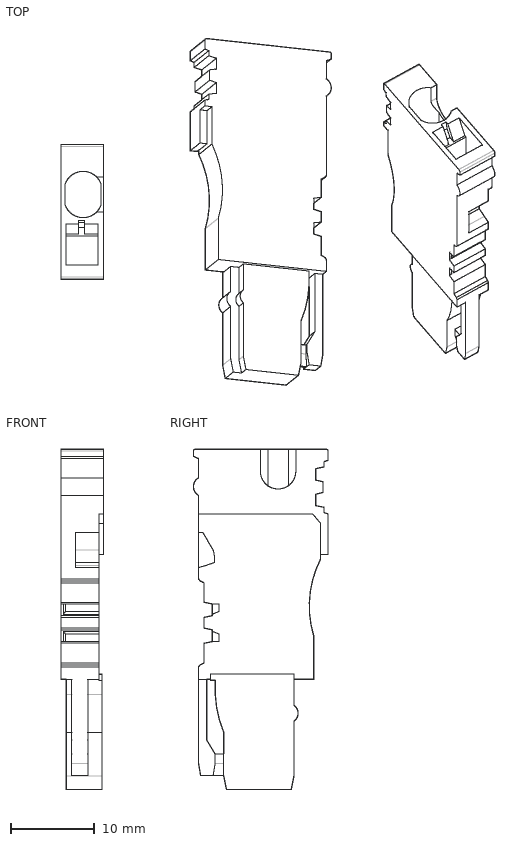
import cadquery as cq

total_height = 40.75
head_width = 5.1
body_width = 4.55
body_depth = 16.15
edge_radius = 0.25

body_bottom = 13.2
head_bottom = 33.0
front_face = 0.6
front_recess = 1.25
rear_waist = 15.25
rear_bottom_face = 14.43

lip_bottom = 39.9
lip_root = 39.6
ridge_center = 36.25
ridge_half_height = 1.05
recess_top = 24.75
recess_bottom = 15.15
bevel_break = 0.25
bevel_break_face = front_face + 0.15

groove_height = 1.8
groove_floor = 2.25
groove_taper = 0.2
groove_centers = [21.5, 18.4]
grip_end_wall = 0.3
grip_end_taper = 0.25
grip_core_floor = 3.05
grip_rib_lip = 0.15
grip_rib_flare = 0.5

rear_groove_centers = [34.68, 37.75]
rear_groove_height = 1.75
rear_groove_floor = 14.65
rear_groove_taper = 0.2
rear_tooth_face = 15.53
rear_land_face = 15.65
rear_land_bottom = 33.17
rear_land_top = 39.25
rear_land_bevel = 0.15
thumb_curve_bottom = 18.38
thumb_curve_middle = (13.9, 21.8)
thumb_curve_top = 27.6

lug_left = 1.7
lug_overlap = 0.4
lug_bottom = 28.1
lug_top = 32.27

head_slope_front = 14.25
head_slope_bottom = 31.85

tongue_left = 0.6
tongue_right = 4.95
tongue_step = 2.1
tongue_top = 13.8
collar_front = 2.05
collar_drop = 0.12
tongue_front_upper = 2.6
tongue_front_lower = 3.63
tongue_back = 12.05
tongue_back_narrow = 11.0
tongue_curve_top = 11.35
tongue_curve_middle = (2.95, 9.0)
tongue_curve_bottom = 6.85
bump_center = 9.13
tip_taper_height = 1.65
tip_taper = 0.33

arm_left = 1.25
arm_right = 3.2
arm_back = 1.65
arm_bottom = 1.67
arm_tip_front = 0.85
arm_tip_back = 2.35
arm_taper_top = 3.15
arm_hook_top = 4.28
arm_hook_slope_top = 5.9
bridge_inset = 0.5
bridge_taper = 0.33


def side_prism(outline, left, right):
    """Extrude a closed YZ outline from X = left to X = right."""
    return outline.close().extrude(right - left).translate((left, 0, 0))


def block(x_range, y_range, z_range):
    """Box between pairs of X, Y and Z limits."""
    sizes = [limits[1] - limits[0] for limits in (x_range, y_range, z_range)]
    corner = (x_range[0], y_range[0], z_range[0])
    return cq.Workplane("XY").box(*sizes, centered=False).translate(corner)


def body_outline():
    """YZ outline of the body, starting at the front top edge and running down the front."""
    outline = (
        cq.Workplane("YZ")
        .moveTo(edge_radius, total_height)
        .radiusArc((0, total_height - edge_radius), -edge_radius)
        .lineTo(0, lip_bottom)
        .lineTo(front_face, lip_root)
        .lineTo(front_face, ridge_center + ridge_half_height)
        .threePointArc((0, ridge_center), (front_face, ridge_center - ridge_half_height))
        .lineTo(front_face, recess_top + 2 * bevel_break)
        .lineTo(bevel_break_face, recess_top + bevel_break)
        .lineTo(front_recess, recess_top)
    )
    for center in groove_centers:
        outer = groove_height / 2
        inner = outer - groove_taper
        outline = (
            outline.lineTo(front_recess, center + outer)
            .lineTo(groove_floor, center + inner)
            .lineTo(groove_floor, center - inner)
            .lineTo(front_recess, center - outer)
        )
    outline = (
        outline.lineTo(front_recess, recess_bottom)
        .lineTo(bevel_break_face, recess_bottom - bevel_break)
        .lineTo(front_face, recess_bottom - 2 * bevel_break)
        .lineTo(front_face, body_bottom)
        .lineTo(rear_bottom_face, body_bottom)
        .lineTo(rear_bottom_face, thumb_curve_bottom)
        .threePointArc(thumb_curve_middle, (rear_waist, thumb_curve_top))
        .lineTo(rear_waist, lug_top)
        .lineTo(body_depth, lug_top)
        .lineTo(body_depth, rear_land_bottom - rear_land_bevel)
        .lineTo(rear_land_face, rear_land_bottom)
    )
    groove_edges = [(rear_land_face, rear_tooth_face), (rear_tooth_face, rear_land_face)]
    for center, (lower_face, upper_face) in zip(rear_groove_centers, groove_edges):
        outer = rear_groove_height / 2
        inner = outer - rear_groove_taper
        outline = (
            outline.lineTo(lower_face, center - outer)
            .lineTo(rear_groove_floor, center - inner)
            .lineTo(rear_groove_floor, center + inner)
            .lineTo(upper_face, center + outer)
        )
    return (
        outline.lineTo(rear_land_face, rear_land_top)
        .lineTo(body_depth, rear_land_top + rear_land_bevel)
        .lineTo(body_depth, total_height - edge_radius)
        .radiusArc((body_depth - edge_radius, total_height), -edge_radius)
    )


def body():
    """Housing: wide head, narrower body and the lug at the rear."""
    shape = side_prism(body_outline(), 0, head_width)
    relief = (
        cq.Workplane("YZ")
        .moveTo(0, head_bottom)
        .lineTo(head_slope_front, head_bottom)
        .lineTo(rear_waist, head_slope_bottom)
        .lineTo(rear_waist, lug_bottom)
        .lineTo(body_depth, lug_bottom)
        .lineTo(body_depth, 0)
        .lineTo(0, 0)
    )
    lug = block((lug_left, head_width), (rear_waist - lug_overlap, body_depth), (lug_bottom, lug_top))
    return shape.union(lug).cut(side_prism(relief, body_width, head_width))


def grip_pockets():
    """Deeper part of both grip grooves, leaving a flared rib between them."""
    upper, lower = groove_centers
    middle = (upper + lower) / 2
    reach = groove_height / 2 - groove_taper
    plan = (
        cq.Workplane("XY")
        .moveTo(grip_end_wall, groove_floor)
        .lineTo(grip_end_wall + grip_end_taper, grip_core_floor)
        .lineTo(body_width, grip_core_floor)
        .lineTo(body_width, groove_floor)
        .close()
        .extrude(total_height)
    )
    pockets = cq.Workplane("YZ")
    for side in (1, -1):
        center = middle + side * (upper - middle)
        outline = (
            cq.Workplane("YZ")
            .moveTo(groove_floor, center + side * reach)
            .lineTo(grip_core_floor, center + side * reach)
            .lineTo(grip_core_floor, center - side * (reach - grip_rib_flare))
            .lineTo(groove_floor, center - side * (reach - grip_rib_lip))
        )
        pockets = pockets.add(side_prism(outline, grip_end_wall, body_width).intersect(plan))
    return pockets.combine()


def front_window():
    """Pocket in the front face, open to the +X side."""
    left = 1.7
    top, bottom = 30.75, 26.55
    ceiling_depth, floor_depth = 1.15, 1.45
    curve_start = (2.35, 28.7)
    curve_middle = (2.53, 27.87)
    curve_end = (2.53, 27.2)
    floor_break = 26.8
    outline = (
        cq.Workplane("YZ")
        .moveTo(front_face, top)
        .lineTo(ceiling_depth, top)
        .lineTo(*curve_start)
        .threePointArc(curve_middle, curve_end)
        .lineTo(floor_depth, floor_break)
        .lineTo(front_face, bottom)
    )
    return side_prism(outline, left, body_width)


def tool_shaft():
    """Rounded shaft from the top, with a round-bottomed opening through the +X wall."""
    center_x, center_y = 2.65, 10.15
    half_width, half_length, half_flat = 2.15, 2.77, 1.22
    floor = 33.4
    shaft = (
        cq.Workplane("XY", origin=(center_x, center_y, floor))
        .moveTo(half_width, -half_flat)
        .lineTo(half_width, half_flat)
        .threePointArc((0, half_length), (-half_width, half_flat))
        .lineTo(-half_width, -half_flat)
        .threePointArc((0, -half_length), (half_width, -half_flat))
        .close()
        .extrude(total_height - floor)
    )
    opening_radius = 2.1
    opening_straight = 2.65
    arc_center = total_height - opening_straight
    opening = (
        cq.Workplane("YZ")
        .moveTo(center_y - opening_radius, total_height)
        .lineTo(center_y - opening_radius, arc_center)
        .threePointArc(
            (center_y, arc_center - opening_radius), (center_y + opening_radius, arc_center)
        )
        .lineTo(center_y + opening_radius, total_height)
    )
    return shaft.union(side_prism(opening, center_x, head_width))


def wire_funnel():
    """Wire entry with a sloped rear wall, a ledge and a narrow guide notch."""
    front, rear = 1.7, 6.65
    left, right = 0.6, 4.45
    notch_left, notch_right = 2.1, 2.8
    ledge_front, ledge_back, ledge_level = 5.18, 5.4, 38.55
    floor, floor_drop, floor_radius = 32.6, 0.25, 7.35
    notch_foot, notch_break, notch_rear = 6.2, 6.8, 7.0
    notch_break_level = 39.65
    funnel = (
        cq.Workplane("YZ")
        .moveTo(front, total_height)
        .lineTo(rear, total_height)
        .lineTo(ledge_back, ledge_level)
        .lineTo(ledge_front, ledge_level)
        .lineTo(ledge_front, floor)
        .radiusArc((front, floor - floor_drop), -floor_radius)
    )
    notch = (
        cq.Workplane("YZ")
        .moveTo(ledge_front, total_height)
        .lineTo(ledge_front, ledge_level)
        .lineTo(notch_foot, ledge_level)
        .lineTo(notch_break, notch_break_level)
        .lineTo(notch_rear, total_height)
    )
    return side_prism(funnel, left, right).union(side_prism(notch, notch_left, notch_right))


def tongue_layer(left, right, back, bump_height, bump_half):
    """Slab of the plug tongue with a rounded bump on its back edge."""
    outline = (
        cq.Workplane("YZ")
        .moveTo(tongue_front_upper, tongue_top)
        .lineTo(tongue_front_upper, tongue_curve_top)
        .threePointArc(tongue_curve_middle, (tongue_front_lower, tongue_curve_bottom))
        .lineTo(tongue_front_lower, tip_taper_height)
        .lineTo(tongue_front_lower + tip_taper, 0)
        .lineTo(back - tip_taper, 0)
        .lineTo(back, tip_taper_height)
        .lineTo(back, bump_center - bump_half)
        .threePointArc((back + bump_height, bump_center), (back, bump_center + bump_half))
        .lineTo(back, tongue_top)
    )
    return side_prism(outline, left, right)


def tongue():
    """Plug tongue, shallower on its -X side."""
    narrow = tongue_layer(tongue_left, tongue_step, tongue_back_narrow, bump_height=0.4, bump_half=0.8)
    wide = tongue_layer(tongue_step, tongue_right, tongue_back, bump_height=0.5, bump_half=0.95)
    collar = block(
        (body_width, tongue_right),
        (collar_front, tongue_front_lower),
        (body_bottom - collar_drop, tongue_top),
    )
    return narrow.union(wide).union(collar)


def latch_arm():
    """Hooked arm hanging from the body, tied to the tongue by a tapered bridge."""
    arm = (
        cq.Workplane("YZ")
        .moveTo(front_face, body_bottom)
        .lineTo(front_face, arm_taper_top)
        .lineTo(arm_tip_front, arm_bottom)
        .lineTo(arm_tip_back, arm_bottom)
        .lineTo(tongue_front_upper, arm_taper_top)
        .lineTo(tongue_front_upper, arm_hook_top)
        .lineTo(arm_back, arm_hook_slope_top)
        .lineTo(arm_back, body_bottom)
    )
    left = arm_left + bridge_inset
    right = arm_right - bridge_inset
    bridge = (
        cq.Workplane("XZ", origin=(0, arm_tip_back, 0))
        .moveTo(left, arm_hook_top)
        .lineTo(left, arm_taper_top)
        .lineTo(left + bridge_taper, arm_bottom)
        .lineTo(right - bridge_taper, arm_bottom)
        .lineTo(right, arm_taper_top)
        .lineTo(right, arm_hook_top)
        .close()
        .extrude(arm_tip_back - tongue_front_lower - tip_taper)
    )
    return side_prism(arm, arm_left, arm_right).union(bridge)


result = (
    body()
    .cut(grip_pockets())
    .cut(front_window())
    .cut(tool_shaft())
    .cut(wire_funnel())
    .union(tongue())
    .union(latch_arm())
)